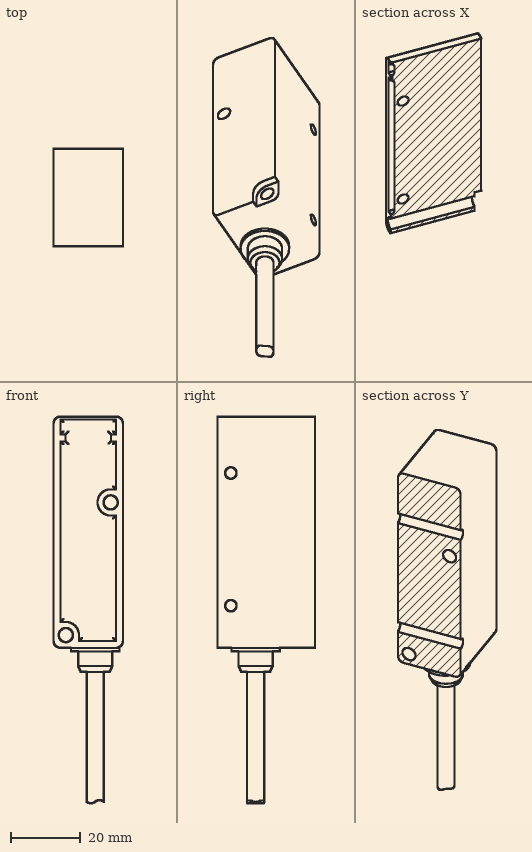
import cadquery as cq

TOTAL_HEIGHT = 110.9
WIDTH = 20
DEPTH = 28.0
HEIGHT = 66.3
EDGE_RADIUS = 2.0

RECESS_DEPTH = 1.1
FLOOR_FILLET = 1.0
RIM = 2.0
TOP_RIM = 0.8

HOLE_SPACING = 38.0
MOUNT_DIAMETER = 4.0
LAND_RADIUS = 3.8
LOWER_MOUNT = (3.5, 3.7)
UPPER_MOUNT = (WIDTH - LOWER_MOUNT[0], LOWER_MOUNT[1] + HOLE_SPACING)
BACK_NOTCH_RADIUS = 3.4
BACK_NOTCH_DEPTH = 2.1

TAB_LENGTH = 1.4
TAB_HEIGHT = 2.0
TAB_Z = HEIGHT - 6.1

CROSS_DIAMETER = 3.2
CROSS_Y = 3.9
CROSS_HEIGHTS = (12.1, 12.1 + HOLE_SPACING)

CABLE_X = 12.0
CABLE_Y = 11.0
FLANGE_DIAMETER = 14.0
FLANGE_THICKNESS = 1.0
COLLAR_DIAMETER = 9.9
COLLAR_LENGTH = 5.9
COLLAR_TAPER_HEIGHT = 1.7
COLLAR_TAPER_INSET = 0.8
CABLE_DIAMETER = 5.0
CABLE_END_WAVE = 0.4


def box(x_min, x_max, y_min, y_max, z_min, z_max):
    size = (x_max - x_min, y_max - y_min, z_max - z_min)
    return cq.Workplane().box(*size, centered=False).translate((x_min, y_min, z_min))


def land(center):
    return cq.Workplane("XZ").center(*center).circle(LAND_RADIUS).extrude(-RECESS_DEPTH)


def front_recess():
    def raised_block(x_min, x_max, z_min, z_max):
        return box(x_min, x_max, 0, RECESS_DEPTH, z_min, z_max)

    recess = raised_block(RIM, WIDTH - RIM, RIM, HEIGHT - TOP_RIM)

    low_x, low_z = LOWER_MOUNT
    up_x, up_z = UPPER_MOUNT
    recess = recess.cut(land(LOWER_MOUNT)).cut(land(UPPER_MOUNT))
    recess = recess.cut(raised_block(0, low_x, 0, low_z + LAND_RADIUS))
    recess = recess.cut(raised_block(0, low_x + LAND_RADIUS, 0, low_z))
    recess = recess.cut(raised_block(up_x, WIDTH, up_z - LAND_RADIUS, up_z + LAND_RADIUS))

    tab_reach = RIM + TAB_LENGTH
    for x_min, x_max in ((0, tab_reach), (WIDTH - tab_reach, WIDTH)):
        tab = raised_block(x_min, x_max, TAB_Z - TAB_HEIGHT / 2, TAB_Z + TAB_HEIGHT / 2)
        recess = recess.cut(tab)
    return recess.faces(">Y").edges().fillet(FLOOR_FILLET)


def back_notch():
    """Rounded corner notch around the back end of the lower mounting hole."""
    x, z = LOWER_MOUNT
    y_min = DEPTH - BACK_NOTCH_DEPTH
    round_end = (
        cq.Workplane("XZ", origin=(0, y_min, 0))
        .center(x, z)
        .circle(BACK_NOTCH_RADIUS)
        .extrude(-BACK_NOTCH_DEPTH)
    )
    side = box(0, x, y_min, DEPTH, 0, z + BACK_NOTCH_RADIUS)
    bottom = box(0, x + BACK_NOTCH_RADIUS, y_min, DEPTH, 0, z)
    return round_end.union(side).union(bottom)


def housing():
    body = box(0, WIDTH, 0, DEPTH, 0, HEIGHT).edges("|Y").fillet(EDGE_RADIUS)
    body = body.cut(front_recess()).cut(back_notch())
    mount_holes = (
        cq.Workplane("XZ")
        .pushPoints([LOWER_MOUNT, UPPER_MOUNT])
        .circle(MOUNT_DIAMETER / 2)
        .extrude(-DEPTH)
    )
    cross_holes = (
        cq.Workplane("YZ")
        .pushPoints([(CROSS_Y, z) for z in CROSS_HEIGHTS])
        .circle(CROSS_DIAMETER / 2)
        .extrude(WIDTH)
    )
    return body.cut(mount_holes).cut(cross_holes)


def cable_outlet():
    """Flange and collar, tapered at the lower end."""
    flange_radius = FLANGE_DIAMETER / 2
    collar_radius = COLLAR_DIAMETER / 2
    collar_end = -FLANGE_THICKNESS - COLLAR_LENGTH
    return (
        cq.Workplane("XZ")
        .moveTo(0, 0)
        .lineTo(flange_radius, 0)
        .lineTo(flange_radius, -FLANGE_THICKNESS)
        .lineTo(collar_radius, -FLANGE_THICKNESS)
        .lineTo(collar_radius, collar_end + COLLAR_TAPER_HEIGHT)
        .lineTo(collar_radius - COLLAR_TAPER_INSET, collar_end)
        .lineTo(0, collar_end)
        .close()
        .revolve(360, (0, 0, 0), (0, 1, 0))
        .translate((CABLE_X, CABLE_Y, 0))
    )


def cable():
    """Round cable whose cut end bows down on the left half and up on the right half."""
    radius = CABLE_DIAMETER / 2
    end_z = HEIGHT - TOTAL_HEIGHT + CABLE_END_WAVE
    profile = (
        cq.Workplane("XZ")
        .moveTo(-radius, 0)
        .lineTo(-radius, end_z)
        .threePointArc((-radius / 2, end_z - CABLE_END_WAVE), (0, end_z))
        .threePointArc((radius / 2, end_z + CABLE_END_WAVE), (radius, end_z))
        .lineTo(radius, 0)
        .close()
        .extrude(radius, both=True)
    )
    rod = cq.Workplane().circle(radius).extrude(-TOTAL_HEIGHT)
    return rod.intersect(profile).translate((CABLE_X, CABLE_Y, 0))


result = housing().union(cable_outlet()).union(cable())